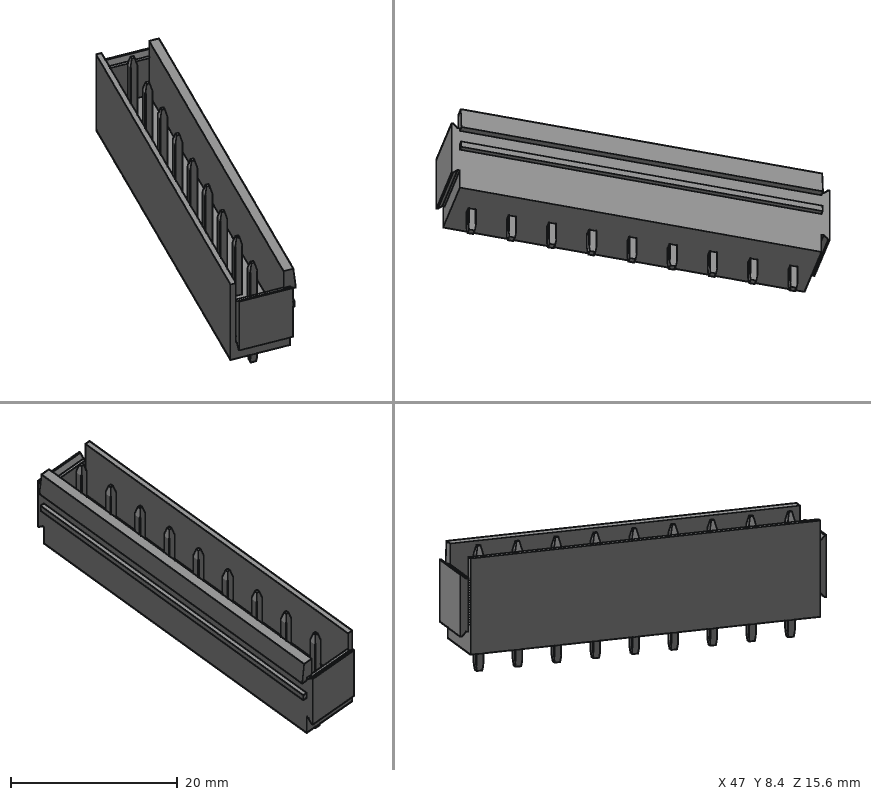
import cadquery as cq


overall_length = 47.0
end_wall_reach = 1.05
body_length = overall_length - 2 * end_wall_reach
body_depth = 7.65
body_height = 12.05
front_wall = 0.7
back_wall_inner_y = 6.8
floor_thickness = 3.5

lip_top_y = 8.1
lip_bottom_y = 8.4
lip_bottom_z = 8.95

rib_outer_y = 8.22
rib_bottom_z = 5.95
rib_top_z = 6.8

dovetail_bottom_z = 2.15
dovetail_top_z = 9.9
dovetail_flare = 0.55
dovetail_edge = 0.2
end_wall_overlap = 0.1

pin_count = 9
pin_row_length = 40.0
pin_pitch = pin_row_length / (pin_count - 1)
pin_y = 3.75
pin_width = 1.0
pin_corner_chamfer = 0.1
pin_bottom_z = -3.2
pin_top_z = 12.4
top_taper_length = 1.25
top_tip_width = 0.38
bottom_taper_length = 1.0
bottom_tip_width = 0.7


def body_block():
    """Trough with a front wall, a floor and a back wall that carries the lip and the rib."""
    section = [
        (0, 0),
        (body_depth, 0),
        (body_depth, rib_bottom_z),
        (rib_outer_y, rib_bottom_z),
        (rib_outer_y, rib_top_z),
        (body_depth, rib_top_z),
        (body_depth, lip_bottom_z),
        (lip_bottom_y, lip_bottom_z),
        (lip_top_y, body_height),
        (back_wall_inner_y, body_height),
        (back_wall_inner_y, floor_thickness),
        (front_wall, floor_thickness),
        (front_wall, body_height),
        (0, body_height),
    ]
    return cq.Workplane("YZ").polyline(section).close().extrude(body_length / 2, both=True)


def end_wall():
    """Left end wall, flaring to a taller outer edge, from the front wall to the back face."""
    outer_x = -overall_length / 2
    edge_x = outer_x + dovetail_edge
    neck_x = edge_x + dovetail_flare
    inner_x = -body_length / 2 + end_wall_overlap
    neck_bottom_z = dovetail_bottom_z + dovetail_flare
    neck_top_z = dovetail_top_z - dovetail_flare
    profile = [
        (outer_x, dovetail_bottom_z),
        (edge_x, dovetail_bottom_z),
        (neck_x, neck_bottom_z),
        (inner_x, neck_bottom_z),
        (inner_x, neck_top_z),
        (neck_x, neck_top_z),
        (edge_x, dovetail_top_z),
        (outer_x, dovetail_top_z),
    ]
    return (
        cq.Workplane("XZ", origin=(0, front_wall, 0))
        .polyline(profile)
        .close()
        .extrude(front_wall - body_depth)
    )


def pin_taper_envelope():
    """Square column narrowing to a tip at both ends."""
    half = pin_width / 2
    half_top = top_tip_width / 2
    half_bottom = bottom_tip_width / 2
    profile = [
        (-half_bottom, pin_bottom_z),
        (half_bottom, pin_bottom_z),
        (half, pin_bottom_z + bottom_taper_length),
        (half, pin_top_z - top_taper_length),
        (half_top, pin_top_z),
        (-half_top, pin_top_z),
        (-half, pin_top_z - top_taper_length),
        (-half, pin_bottom_z + bottom_taper_length),
    ]
    across_x = cq.Workplane("XZ").polyline(profile).close().extrude(half, both=True)
    across_y = cq.Workplane("YZ").polyline(profile).close().extrude(half, both=True)
    return across_x.intersect(across_y)


def pin(x):
    """One pin with chamfered corners and tapered ends, standing at x in the row."""
    bar = (
        cq.Workplane("XY", origin=(0, 0, pin_bottom_z))
        .rect(pin_width, pin_width)
        .extrude(pin_top_z - pin_bottom_z)
        .edges("|Z")
        .chamfer(pin_corner_chamfer)
    )
    return bar.intersect(pin_taper_envelope()).translate((x, pin_y, 0))


pins = [pin(-pin_row_length / 2 + i * pin_pitch) for i in range(pin_count)]

left_wall = end_wall()
right_wall = left_wall.mirror("YZ")
housing = body_block().union(left_wall).union(right_wall)
for one_pin in pins:
    housing = housing.cut(one_pin)

result = cq.Compound.makeCompound([housing.val(), *[one_pin.val() for one_pin in pins]])